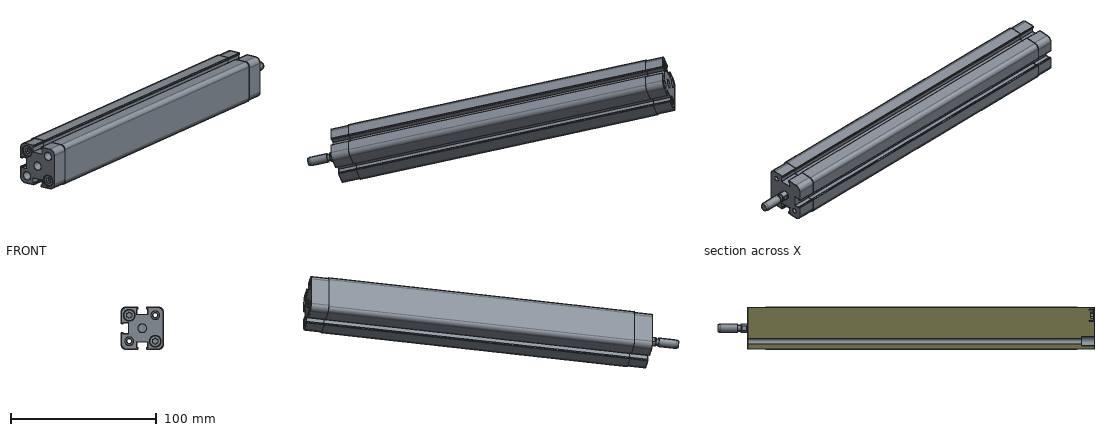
import cadquery as cq

total_length = 258.5
rod_length = 20.5
front_cap_length = 12.7
rear_cap_length = 12.1
housing_length = total_length - rod_length
tube_length = housing_length - front_cap_length - rear_cap_length
rear_y = -total_length / 2
tube_y = rear_y + rear_cap_length
front_cap_y = tube_y + tube_length
front_y = rear_y + housing_length

tube_side = 29.0
cap_side = 28.7
cap_inset = (tube_side - cap_side) / 2
cap_corner_radius = 4.0
tube_corner_radius = 3.0

slot_mouth_width = 6.2
slot_throat_width = 6.0
slot_channel_width = 7.5
slot_depth = 5.0
slot_lip = 1.3
slot_angles = (0, 90, 180)

bolt_spacing = 17.8
bolt_offset = bolt_spacing / 2
through_diameter = 3.4
counterbore_diameter = 6.0
counterbore_depth = 9.0
port_diameter = 6.0
port_depth = 9.0
screw_recess_diameter = 8.0
screw_recess_depth = 4.0
screw_head_diameter = 7.5
screw_head_height = 3.0
socket_across_corners = 4.1
socket_depth = 2.0

rod_diameter = 6.0
rod_tip_chamfer = 0.5
rod_tip_chamfer_length = 1.8
thread_length = 13.7
neck_length = 2.0
neck_diameter = 4.5
flats_width = 5.0
flats_length = 3.0
flats_start = 0.8


def cylinder(x, y, z, diameter, length):
    """Cylinder along +Y starting at (x, y, z)."""
    return cq.Workplane(cq.Solid.makeCylinder(diameter / 2, length, cq.Vector(x, y, z), cq.Vector(0, 1, 0)))


def hex_socket():
    """Hexagonal prism along +Y from the origin, with corners pointing along Z."""
    hexagon = cq.Workplane("XZ").polygon(6, socket_across_corners)
    return hexagon.extrude(-socket_depth).rotate((0, 0, 0), (0, 1, 0), 90)


def rounded_bar(y, width, length, corner_radius):
    """Square bar along +Y with its four long edges rounded."""
    bar = cq.Workplane("XY").box(width, length, width).edges("|Y").fillet(corner_radius)
    return bar.translate((0, y + length / 2, 0))


def sensor_slot(y, length, inset):
    """Slot cutter for the +Z side, with its walls and floor moved into the material by inset."""
    half_mouth = slot_mouth_width / 2 + inset
    half_throat = slot_throat_width / 2 + inset
    half_channel = slot_channel_width / 2 + inset
    top = tube_side / 2
    lip_z = top - slot_lip
    floor_z = top - slot_depth - inset
    right_half = [
        (half_mouth, top),
        (half_throat, lip_z),
        (half_channel, lip_z),
        (half_channel, floor_z),
    ]
    left_half = [(-x, z) for x, z in reversed(right_half)]
    outline = cq.Workplane("XZ", origin=(0, y, 0)).polyline(right_half + left_half).close()
    return outline.extrude(-length)


def slotted_bar(y, width, length, corner_radius, slot_inset):
    """Rounded square bar along +Y with a sensor slot in its -X, +Z and -Z sides."""
    bar = rounded_bar(y, width, length, corner_radius)
    slot = sensor_slot(y, length, slot_inset)
    for angle in slot_angles:
        bar = bar.cut(slot.rotate((0, 0, 0), (0, 1, 0), -angle))
    return bar


def housing():
    tube = slotted_bar(tube_y, tube_side, tube_length, tube_corner_radius, 0)
    rear_cap = slotted_bar(rear_y, cap_side, rear_cap_length, cap_corner_radius, cap_inset)
    front_cap = slotted_bar(front_cap_y, cap_side, front_cap_length, cap_corner_radius, cap_inset)
    return tube.union(rear_cap).union(front_cap)


def add_rear_holes(body):
    body = body.cut(cylinder(0, rear_y, 0, port_diameter, port_depth))
    for sign in (-1, 1):
        x = z = sign * bolt_offset
        body = body.cut(cylinder(x, rear_y, z, through_diameter, housing_length))
        body = body.cut(cylinder(x, rear_y, z, counterbore_diameter, counterbore_depth))
    return body


def add_rear_screws(body):
    head_y = rear_y + screw_recess_depth - screw_head_height
    for sign in (-1, 1):
        x = sign * bolt_offset
        z = -x
        body = body.cut(cylinder(x, rear_y, z, screw_recess_diameter, screw_recess_depth))
        body = body.union(cylinder(x, head_y, z, screw_head_diameter, screw_head_height))
        body = body.cut(hex_socket().translate((x, head_y, z)))
    return body


def piston_rod():
    radius = rod_diameter / 2
    tip_y = total_length / 2
    neck_end_y = tip_y - thread_length
    neck_start_y = neck_end_y - neck_length
    profile = [
        (0, front_y),
        (radius, front_y),
        (radius, neck_start_y),
        (neck_diameter / 2, neck_start_y),
        (neck_diameter / 2, neck_end_y),
        (radius, neck_end_y),
        (radius, tip_y - rod_tip_chamfer_length),
        (radius - rod_tip_chamfer, tip_y),
        (0, tip_y),
    ]
    rod = cq.Workplane("XY").polyline(profile).close().revolve(360, (0, 0, 0), (0, 1, 0))
    flats_y = front_y + flats_start + flats_length / 2
    for sign in (-1, 1):
        cutter = cq.Workplane("XY").box(rod_diameter, flats_length, 2 * rod_diameter)
        rod = rod.cut(cutter.translate((sign * (flats_width + rod_diameter) / 2, flats_y, 0)))
    return rod


result = add_rear_screws(add_rear_holes(housing())).union(piston_rod())